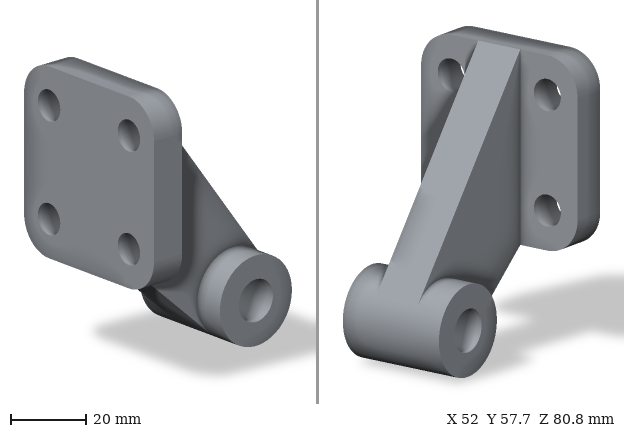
import cadquery as cq
import math

plate_width = 52.0
plate_height = 54.0
plate_thickness = 10.0
corner_radius = 10.0
bolt_hole_diameter = 9.0
bolt_spacing = 32.0

overall_depth = 57.7
overall_height = 80.75
boss_diameter = 25.5
boss_length = 32.0
bore_diameter = 12.0

web_thickness = 14.0

boss_radius = boss_diameter / 2
boss_y = overall_depth - boss_radius
boss_z = boss_radius
plate_top = overall_height
plate_bottom = plate_top - plate_height


def make_plate():
    plate_center_z = (plate_top + plate_bottom) / 2
    return (
        cq.Workplane("XZ", origin=(0, 0, plate_center_z))
        .rect(plate_width, plate_height)
        .extrude(-plate_thickness)
        .edges("|Y")
        .fillet(corner_radius)
        .faces("<Y")
        .workplane(centerOption="CenterOfBoundBox")
        .rect(bolt_spacing, bolt_spacing, forConstruction=True)
        .vertices()
        .hole(bolt_hole_diameter)
    )


def x_cylinder(diameter, length):
    """Cylinder on the boss axis, centred on X = 0."""
    return (
        cq.Workplane("YZ")
        .center(boss_y, boss_z)
        .circle(diameter / 2)
        .extrude(length / 2, both=True)
    )


def tangent_point(y, z, side):
    """Point where a line from (y, z) touches the boss; side is +1 or -1."""
    distance = math.hypot(y - boss_y, z - boss_z)
    angle = math.atan2(z - boss_z, y - boss_y) + side * math.acos(boss_radius / distance)
    return boss_y + boss_radius * math.cos(angle), boss_z + boss_radius * math.sin(angle)


def make_web():
    """Web whose upper and lower edges run tangent to the boss."""
    upper_corner = (plate_thickness, plate_top)
    lower_corner = (plate_thickness, plate_bottom)
    outline = [
        upper_corner,
        tangent_point(*upper_corner, -1),
        (boss_y, boss_z),
        tangent_point(*lower_corner, 1),
        lower_corner,
    ]
    return cq.Workplane("YZ").polyline(outline).close().extrude(web_thickness / 2, both=True)


boss = x_cylinder(boss_diameter, boss_length)
bore = x_cylinder(bore_diameter, boss_length)
result = make_plate().union(make_web()).union(boss).cut(bore)